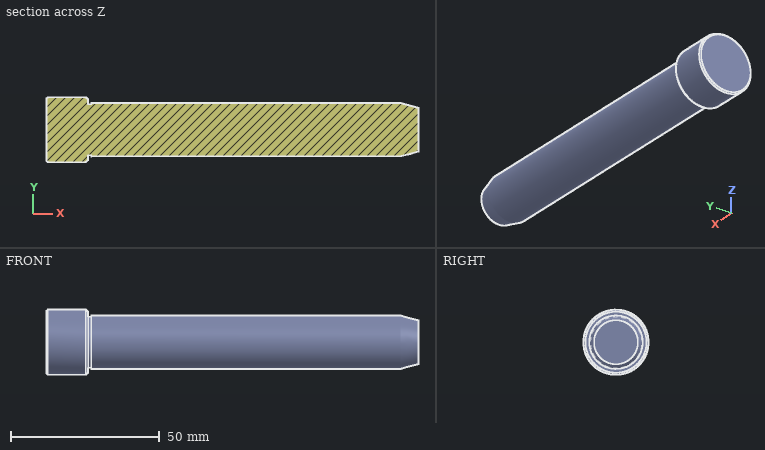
import cadquery as cq
import math

total_length = 125.0
head_diameter = 22.0
head_length = 14.0
head_front_chamfer = 0.5
head_back_chamfer = 0.8
shank_diameter = 18.0
neck_diameter = 17.2
neck_length = 1.0
tip_length = 6.0
tip_half_angle = 15.0

head_radius = head_diameter / 2
shank_radius = shank_diameter / 2
neck_radius = neck_diameter / 2
tip_radius = shank_radius - tip_length * math.tan(math.radians(tip_half_angle))
shank_start = head_length + neck_length
tip_start = total_length - tip_length

profile = [
    (0, 0),
    (0, head_radius - head_front_chamfer),
    (head_front_chamfer, head_radius),
    (head_length - head_back_chamfer, head_radius),
    (head_length, head_radius - head_back_chamfer),
    (head_length, neck_radius),
    (shank_start, neck_radius),
    (shank_start, shank_radius),
    (tip_start, shank_radius),
    (total_length, tip_radius),
    (total_length, 0),
]

result = cq.Workplane("XY").polyline(profile).close().revolve(360, (0, 0, 0), (1, 0, 0))